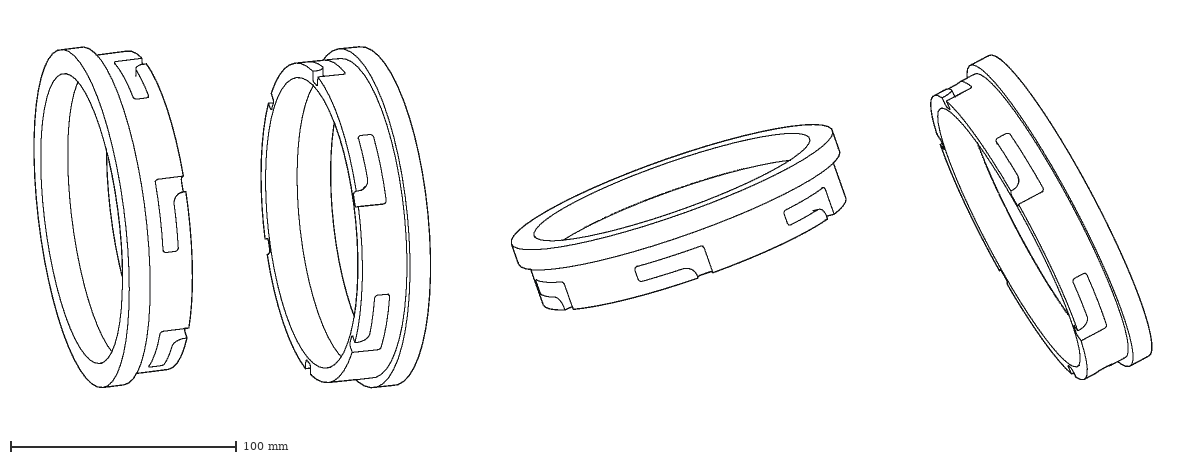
import cadquery as cq
import math

flange_diameter = 151.13
body_diameter = 142.49
bore_diameter = 129.54
total_length = 30.48
flange_length = 9.65

groove_front = 12.6
groove_width = 3.0
groove_depth = 2.7
groove_mouth_radius = 0.5
groove_root_radius = 0.4

slot_count = 6
slot_start_angle = -7.0
slot_sweep_angle = 26.55
entry_sweep_angle = 5.62
slot_front = 17.27
slot_width = 7.05
slot_depth = 4.7
slot_fillet = 1.524
lip_radius = 5.08

overshoot = 2.0
selection_margin = 0.1

body_radius = body_diameter / 2
bore_radius = bore_diameter / 2
slot_floor_radius = body_radius - slot_depth
slot_outer_radius = body_radius + overshoot
slot_back = slot_front + slot_width
entry_back = total_length + overshoot


def ring(outer_diameter, length):
    """Ring with the part's bore, standing on the flange face."""
    profile = cq.Workplane("XZ").circle(outer_diameter / 2).circle(bore_radius)
    return profile.extrude(-length)


def groove_cutter():
    """Groove with a rounded root and rounded mouth edges, revolved about the Y axis."""
    mouth = groove_mouth_radius
    root = groove_root_radius
    groove_back = groove_front + groove_width
    floor_radius = bore_radius + groove_depth
    profile = (
        cq.Workplane("XY")
        .moveTo(bore_radius - overshoot, groove_front - mouth)
        .lineTo(bore_radius, groove_front - mouth)
        .radiusArc((bore_radius + mouth, groove_front), mouth)
        .lineTo(floor_radius - root, groove_front)
        .radiusArc((floor_radius, groove_front + root), -root)
        .lineTo(floor_radius, groove_back - root)
        .radiusArc((floor_radius - root, groove_back), -root)
        .lineTo(bore_radius + mouth, groove_back)
        .radiusArc((bore_radius, groove_back + mouth), mouth)
        .lineTo(bore_radius - overshoot, groove_back + mouth)
        .close()
    )
    return profile.revolve(360, (0, 0, 0), (0, 1, 0))


def sector(back, sweep_angle):
    """Ring slice from the slot front to the given Y, swept from +Z towards +X."""
    profile = (
        cq.Workplane("YZ")
        .moveTo(slot_front, slot_floor_radius)
        .lineTo(slot_front, slot_outer_radius)
        .lineTo(back, slot_outer_radius)
        .lineTo(back, slot_floor_radius)
        .close()
    )
    return profile.revolve(sweep_angle, (0, 0, 0), (1, 0, 0))


def nearest_to(angle, radius, y):
    """Selector for what lies nearest to a point given by its angle from +Z towards +X."""
    turn = math.radians(angle)
    point = (radius * math.sin(turn), y, radius * math.cos(turn))
    return cq.selectors.NearestToPointSelector(point)


def round_radial_edge(cutter, angle, y, radius):
    """Fillet the cutter's radial edge at this angle and Y."""
    middle_radius = (slot_floor_radius + slot_outer_radius) / 2
    return cutter.edges(nearest_to(angle, middle_radius, y)).fillet(radius)


def slot_cutter():
    """One L-shaped slot with its entry wall at +Z."""
    cutter = sector(slot_back, slot_sweep_angle).union(sector(entry_back, entry_sweep_angle))
    cutter = round_radial_edge(cutter, entry_sweep_angle, slot_back, lip_radius)
    cutter = round_radial_edge(cutter, 0, slot_front, slot_fillet)
    cutter = round_radial_edge(cutter, slot_sweep_angle, slot_front, slot_fillet)
    cutter = round_radial_edge(cutter, slot_sweep_angle, slot_back, slot_fillet)

    floor_center = nearest_to(slot_sweep_angle / 2, slot_floor_radius, slot_front + slot_width / 2)
    open_end = cq.selectors.BoxSelector(
        (-body_radius, entry_back - selection_margin, -body_radius),
        (body_radius, entry_back + selection_margin, body_radius),
    )
    floor_edges = cutter.faces(floor_center).edges(cq.selectors.InverseSelector(open_end))
    return floor_edges.fillet(slot_fillet)


def cut_slots(body):
    """Cut the slots at equal steps around the Y axis."""
    cutter = slot_cutter()
    for index in range(slot_count):
        angle = slot_start_angle + index * 360 / slot_count
        body = body.cut(cutter.rotate((0, 0, 0), (0, 1, 0), angle))
    return body


result = ring(body_diameter, total_length).union(ring(flange_diameter, flange_length))
result = result.cut(groove_cutter())
result = cut_slots(result)